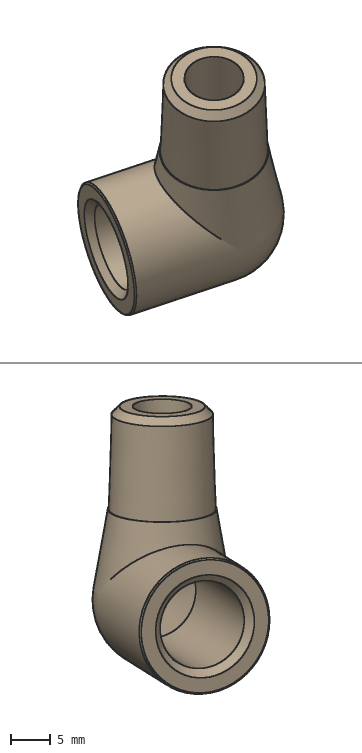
import cadquery as cq
import math

body_radius = 8.87
socket_reach = 15.0
spigot_top = 25.25
edge_chamfer = 0.2

neck_half_angle = math.radians(10)
neck_top = 11.85
tangent_radius = body_radius * math.cos(neck_half_angle)
tangent_height = body_radius * math.sin(neck_half_angle)
neck_top_radius = tangent_radius - (neck_top - tangent_height) * math.tan(neck_half_angle)

spigot_base_radius = 6.82
spigot_tip_radius = 6.45
spigot_chamfer = 1.02

spigot_bore_radius = 7.5 / 2
socket_bore_radius = 11.43 / 2
socket_bore_end = 3.0
drill_half_angle = math.radians(70)
drill_tip = socket_bore_end + socket_bore_radius / math.tan(drill_half_angle)
mouth_chamfer = 1.0


def make_upright_branch():
    """Ball, conical neck and tapered spigot, revolved about Z."""
    profile = (
        cq.Workplane("XZ")
        .moveTo(0, -body_radius)
        .threePointArc((body_radius * math.sqrt(0.5), -body_radius * math.sqrt(0.5)), (body_radius, 0))
        .threePointArc(
            (body_radius * math.cos(neck_half_angle / 2), body_radius * math.sin(neck_half_angle / 2)),
            (tangent_radius, tangent_height),
        )
        .lineTo(neck_top_radius, neck_top)
        .lineTo(spigot_base_radius, neck_top)
        .lineTo(spigot_tip_radius, spigot_top - spigot_chamfer)
        .lineTo(spigot_tip_radius - spigot_chamfer, spigot_top)
        .lineTo(0, spigot_top)
        .close()
    )
    return profile.revolve(360, (0, 0), (0, 1))


def make_socket_branch():
    """Plain cylinder running toward -Y with a broken outer edge."""
    cylinder = cq.Workplane("XZ").circle(body_radius).extrude(socket_reach)
    return cylinder.faces("<Y").chamfer(edge_chamfer)


def make_socket_bore():
    """Drilled hole with a countersunk mouth and a conical end, revolved about Y."""
    profile = (
        cq.Workplane("XY")
        .moveTo(0, -socket_reach)
        .lineTo(socket_bore_radius + mouth_chamfer, -socket_reach)
        .lineTo(socket_bore_radius, -socket_reach + mouth_chamfer)
        .lineTo(socket_bore_radius, socket_bore_end)
        .lineTo(0, drill_tip)
        .close()
    )
    return profile.revolve(360, (0, 0), (0, 1))


def make_spigot_bore():
    """Straight hole from the spigot tip down into the socket bore."""
    return cq.Workplane("XY").circle(spigot_bore_radius).extrude(spigot_top)


result = (
    make_upright_branch()
    .union(make_socket_branch())
    .cut(make_socket_bore())
    .cut(make_spigot_bore())
)